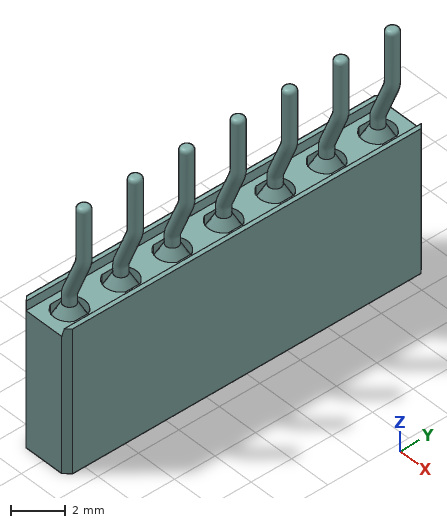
import cadquery as cq
import math


pin_count = 7
housing_length = 17.78
pitch = housing_length / pin_count
housing_width = 2.55
wall_top = 6.99
wall_height = 0.37
floor_z = wall_top - wall_height
corner_chamfer = 0.28
wall_top_thickness = 0.21
wall_foot_thickness = corner_chamfer

pocket_diameter = 1.5
pocket_width = 1.32
pocket_depth = 0.5
pocket_floor_z = floor_z - pocket_depth

collar_top = 6.93

pin_diameter = 0.6
pin_radius = pin_diameter / 2
pin_top = 12.1
tip_fillet = 0.18
pin_offset = 0.8
lower_bend_start = 7.3
lower_bend_radius = 0.7
upper_bend_radius = 1.03
bend_angle = math.radians(22.5)


def make_housing():
    """Chamfered block with a low, slightly tapered wall along each long side."""
    block = cq.Workplane("XY").box(housing_width, housing_length, wall_top, centered=(True, True, False))
    block = block.edges("|Z").chamfer(corner_chamfer)
    half_floor = housing_width / 2 - wall_foot_thickness
    half_opening = housing_width / 2 - wall_top_thickness
    channel = (
        cq.Workplane("XZ")
        .polyline([
            (-half_floor, floor_z),
            (half_floor, floor_z),
            (half_opening, wall_top),
            (-half_opening, wall_top),
        ])
        .close()
        .extrude(housing_length / 2, both=True)
    )
    return block.cut(channel)


def make_pocket():
    """Volume removed around one pin."""
    pocket_floor = cq.Workplane("XY").workplane(offset=pocket_floor_z)
    round_part = pocket_floor.circle(pocket_diameter / 2).extrude(pocket_depth)
    flat_sided_part = pocket_floor.rect(pocket_width, pocket_diameter).extrude(pocket_depth)
    return round_part.intersect(flat_sided_part)


def make_collar():
    """Cone from the full pocket diameter up to the pin, merging into the housing at the pocket flats."""
    return (
        cq.Workplane("XZ")
        .polyline([
            (0, pocket_floor_z),
            (pocket_diameter / 2, pocket_floor_z),
            (pin_radius, collar_top),
            (0, collar_top),
        ])
        .close()
        .revolve(360, (0, 0, 0), (0, 1, 0))
    )


def bend_point(radius, angle):
    """Sideways and upward travel along a bend that starts out vertical."""
    return radius * (1 - math.cos(angle)), radius * math.sin(angle)


def make_pin():
    """Round wire: upright, leaning towards +X, then upright again."""
    lower_mid_x, lower_mid_z = bend_point(lower_bend_radius, bend_angle / 2)
    lower_end_x, lower_end_z = bend_point(lower_bend_radius, bend_angle)
    upper_mid_x, upper_mid_z = bend_point(upper_bend_radius, bend_angle / 2)
    upper_end_x, upper_end_z = bend_point(upper_bend_radius, bend_angle)
    lean_x = pin_offset - lower_end_x - upper_end_x
    lean_z = lean_x / math.tan(bend_angle)
    upper_bend_end = lower_bend_start + lower_end_z + lean_z + upper_end_z
    path = (
        cq.Workplane("XZ")
        .moveTo(0, pocket_floor_z)
        .lineTo(0, lower_bend_start)
        .threePointArc(
            (lower_mid_x, lower_bend_start + lower_mid_z),
            (lower_end_x, lower_bend_start + lower_end_z),
        )
        .lineTo(pin_offset - upper_end_x, upper_bend_end - upper_end_z)
        .threePointArc(
            (pin_offset - upper_mid_x, upper_bend_end - upper_mid_z),
            (pin_offset, upper_bend_end),
        )
        .lineTo(pin_offset, pin_top)
    )
    wire = cq.Workplane("XY").workplane(offset=pocket_floor_z).circle(pin_radius).sweep(path)
    return wire.faces(">Z").edges().fillet(tip_fillet)


pocket = make_pocket()
collared_pin = make_collar().union(make_pin())
result = make_housing()
for index in range(pin_count):
    pin_y = (index - (pin_count - 1) / 2) * pitch
    result = result.cut(pocket.translate((0, pin_y, 0)))
    result = result.union(collared_pin.translate((0, pin_y, 0)))